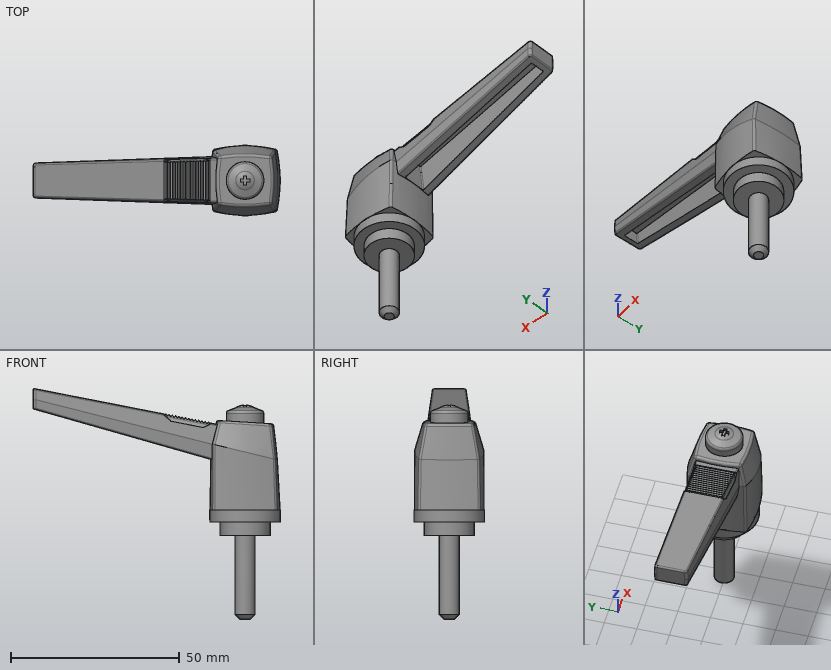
import cadquery as cq

STUD_D = 6.0
STUD_LENGTH = 24.9
STUD_TIP_D = 3.0
STUD_TIP_CHAMFER = (STUD_D - STUD_TIP_D) / 2
SEAT_D = 15.0
SEAT_HEIGHT = 4.0
FLANGE_D = 21.0
FLANGE_HEIGHT = 3.6
BODY_BASE_Z = SEAT_HEIGHT + FLANGE_HEIGHT

BASE_X = (-9.5, 9.5)
BASE_Z = (BODY_BASE_Z, BODY_BASE_Z)
BASE_BOW_X = 0.95
BASE_HALF_Y = 9.2
BASE_BOW_Y = 1.2
PARTING_X = (-9.5, 9.0)
PARTING_Z = (27.1, 22.65)
PARTING_HALF_Y = 8.9
PARTING_BOW_X = 0.7
PARTING_BOW_Y = 1.5
TOP_X = (-7.8, 7.9)
TOP_Z = (34.2, 33.2)
TOP_HALF_Y = 7.1
TOP_BOW = 0.65
BODY_FILLET = 0.95

BUTTON_D = 11.2
BUTTON_EDGE_Z = 36.2
BUTTON_SHOULDER_D = 10.1
BUTTON_SHOULDER_Z = 37.1
BUTTON_CAP_D = 5.5
BUTTON_CAP_Z = 38.0
BUTTON_TOP_Z = 38.8
BUTTON_ROUND_MID_D = 10.8
BUTTON_ROUND_MID_Z = 36.8
CROSS_LENGTH = 2.8
CROSS_WIDTH = 0.9
CROSS_DEPTH = 0.9

OVERALL_LENGTH = 73.5
GRIP_END_X = FLANGE_D / 2 - OVERALL_LENGTH
GRIP_ROOT_X = -6.6
GRIP_TOP_Z = (43.7, 32.7)
GRIP_PARTING_Z = (40.6, 26.3)
GRIP_BOTTOM_Z = (37.6, 21.6)
GRIP_TOP_HALF = (5.0, 6.6)
GRIP_PARTING_WIDTH = (10.45, 14.5)
GRIP_BOTTOM_HALF = (5.0, 6.7)
GRIP_END_FILLET = 0.95
GRIP_FILLET = 0.45

GRIP_SKIN = 2.0
GRIP_END_WALL = 2.0
HOLLOW_END_X = -10.3
HOLLOW_CORNER_RADIUS = 0.3
HOLLOW_CEILING_HALF = (2.2, 2.65)
HOLLOW_MOUTH_HALF = (2.6, 3.9)

PAD_X = (-24.0, -10.4)
PAD_DEPTH = 1.8
PAD_END_RUN = 2.05
PAD_PEAK_INSET = 0.8
PAD_SHOULDER_INSET = 0.4
PAD_SHOULDER_DEPTH = 0.65
PAD_FOOT_OUTSET = 0.1
TOOTH_COUNT = 14
TOOTH_PEAK_RISE = 0.15
TOOTH_ROOT_RISE = -0.4


def along_grip(pair, x):
    """Value at x of a size that changes evenly from the grip end to the grip root."""
    return pair[0] + (pair[1] - pair[0]) * (x - GRIP_END_X) / (GRIP_ROOT_X - GRIP_END_X)


def bowed_outline(x_range, z_range, half_y, bow_x, bow_y):
    """Four-sided outline with outward-bowed sides, lying on a plane that slopes along X."""
    x_low, x_high = x_range
    z_low, z_high = z_range
    x_mid = (x_low + x_high) / 2

    def point(x, y):
        return cq.Vector(x, y, z_low + (z_high - z_low) * (x - x_low) / (x_high - x_low))

    corners = [(x_low, -half_y), (x_high, -half_y), (x_high, half_y), (x_low, half_y)]
    middles = [(x_mid, -half_y - bow_y), (x_high + bow_x, 0), (x_mid, half_y + bow_y), (x_low - bow_x, 0)]
    sides = []
    for i, middle in enumerate(middles):
        start = point(*corners[i])
        end = point(*corners[(i + 1) % 4])
        sides.append(cq.Edge.makeThreePointArc(start, point(*middle), end))
    return cq.Wire.assembleEdges(sides)


def body_corner_levels():
    """Middle (x, half y, z) of each corner edge, below and above the parting line."""
    levels = []
    for end, base_x in enumerate(BASE_X):
        base = cq.Vector(base_x, BASE_HALF_Y, BODY_BASE_Z)
        parting = cq.Vector(PARTING_X[end], PARTING_HALF_Y, PARTING_Z[end])
        top = cq.Vector(TOP_X[end], TOP_HALF_Y, TOP_Z[end])
        levels.append(((base + parting) / 2).toTuple())
        levels.append(((parting + top) / 2).toTuple())
    return levels


def make_body():
    """Tapered block in two lofts, with its corners and top rim rounded."""
    base = bowed_outline(BASE_X, BASE_Z, BASE_HALF_Y, BASE_BOW_X, BASE_BOW_Y)
    parting = bowed_outline(PARTING_X, PARTING_Z, PARTING_HALF_Y, PARTING_BOW_X, PARTING_BOW_Y)
    top = bowed_outline(TOP_X, TOP_Z, TOP_HALF_Y, TOP_BOW, TOP_BOW)
    lower = cq.Workplane(cq.Solid.makeLoft([base, parting], True))
    upper = cq.Workplane(cq.Solid.makeLoft([parting, top], True))
    body = lower.union(upper)
    rounded = body.faces(">Z").edges()
    for level_x, level_y, level_z in body_corner_levels():
        for side in (-1, 1):
            corner = (level_x, side * level_y, level_z)
            rounded = rounded.add(body.edges(cq.selectors.NearestToPointSelector(corner)))
    return rounded.fillet(BODY_FILLET)


def make_turned_parts():
    """Seat, flange and stud."""
    seat = cq.Workplane("XY").circle(SEAT_D / 2).extrude(SEAT_HEIGHT)
    flange = cq.Workplane("XY").workplane(offset=SEAT_HEIGHT).circle(FLANGE_D / 2).extrude(FLANGE_HEIGHT)
    stud = cq.Workplane("XY").circle(STUD_D / 2).extrude(-STUD_LENGTH)
    stud = stud.faces("<Z").chamfer(STUD_TIP_CHAMFER)
    return seat.union(flange).union(stud)


def make_button():
    """Domed button with a cross recess; its foot is buried in the body."""
    cap_radius = BUTTON_CAP_D / 2
    cap_height = BUTTON_TOP_Z - BUTTON_CAP_Z
    sphere_radius = (cap_radius**2 + cap_height**2) / (2 * cap_height)
    round_middle = (BUTTON_ROUND_MID_D / 2, BUTTON_ROUND_MID_Z)
    button = (
        cq.Workplane("XZ")
        .moveTo(0, BODY_BASE_Z)
        .lineTo(BUTTON_D / 2, BODY_BASE_Z)
        .lineTo(BUTTON_D / 2, BUTTON_EDGE_Z)
        .threePointArc(round_middle, (BUTTON_SHOULDER_D / 2, BUTTON_SHOULDER_Z))
        .lineTo(cap_radius, BUTTON_CAP_Z)
        .radiusArc((0, BUTTON_TOP_Z), -sphere_radius)
        .close()
        .revolve(360, (0, 0), (0, 1))
    )
    cross = (
        cq.Workplane("XY")
        .workplane(offset=BUTTON_TOP_Z - CROSS_DEPTH)
        .rect(CROSS_LENGTH, CROSS_WIDTH)
        .extrude(CROSS_DEPTH)
    )
    return button.cut(cross).cut(cross.rotate((0, 0, 0), (0, 0, 1), 90))


def section(x, half_width_levels):
    """Closed outline across the grip at x, from (half width, z) levels listed top to bottom."""
    right = [cq.Vector(x, half, z) for half, z in half_width_levels]
    left = [cq.Vector(x, -half, z) for half, z in reversed(half_width_levels)]
    return cq.Wire.makePolygon(right + left, close=True)


def make_grip():
    """Solid tapered grip with rounded end corners and rims."""
    sections = []
    for end, x in enumerate((GRIP_END_X, GRIP_ROOT_X)):
        levels = [
            (GRIP_TOP_HALF[end], GRIP_TOP_Z[end]),
            (GRIP_PARTING_WIDTH[end] / 2, GRIP_PARTING_Z[end]),
            (GRIP_BOTTOM_HALF[end], GRIP_BOTTOM_Z[end]),
        ]
        sections.append(section(x, levels))
    grip = cq.Workplane(cq.Solid.makeLoft(sections, True))
    grip = grip.faces("<X").edges("not #Z").fillet(GRIP_END_FILLET)

    middle_x = (GRIP_END_X + GRIP_ROOT_X) / 2
    for level in (GRIP_TOP_Z, GRIP_BOTTOM_Z):
        face_point = (middle_x, 0, along_grip(level, middle_x))
        face = grip.faces(cq.selectors.NearestToPointSelector(face_point))
        grip = grip.newObject(face.edges().edges("not >X").vals()).fillet(GRIP_FILLET)
    return grip


def make_hollow():
    """Drafted pocket, open downward, running from the end wall to just short of the body."""
    sections = []
    for end, x in enumerate((GRIP_END_X + GRIP_END_WALL, HOLLOW_END_X)):
        ceiling_z = along_grip(GRIP_TOP_Z, x) - GRIP_SKIN
        mouth_z = along_grip(GRIP_BOTTOM_Z, x) - GRIP_FILLET
        levels = [(HOLLOW_CEILING_HALF[end], ceiling_z), (HOLLOW_MOUTH_HALF[end], mouth_z)]
        sections.append(section(x, levels))
    hollow = cq.Workplane(cq.Solid.makeLoft(sections, True))
    return hollow.faces("<X or >X").edges("not #Z").fillet(HOLLOW_CORNER_RADIUS)


def above_grip(x, rise):
    """Point of a side profile at a height above the top of the grip."""
    return (x, along_grip(GRIP_TOP_Z, x) + rise)


def across_grip(outline):
    """Prism wider than the grip, from a side profile."""
    return cq.Workplane("XZ").polyline(outline).close().extrude(FLANGE_D / 2, both=True)


def add_thumb_pad(grip):
    """Replace a shallow stretch of the grip top with teeth whose ends slope down to steep side facets."""
    start_x, end_x = PAD_X
    pitch = (end_x - start_x) / TOOTH_COUNT
    foot = [above_grip(end_x - PAD_END_RUN, -PAD_DEPTH), above_grip(start_x + PAD_END_RUN, -PAD_DEPTH)]

    teeth = [above_grip(start_x, TOOTH_ROOT_RISE)]
    for i in range(TOOTH_COUNT):
        tooth_x = start_x + i * pitch
        teeth.append(above_grip(tooth_x + pitch / 2, TOOTH_PEAK_RISE))
        teeth.append(above_grip(tooth_x + pitch, TOOTH_ROOT_RISE))
    profile = across_grip(teeth + foot)

    sections = []
    for x in PAD_X:
        half = along_grip(GRIP_TOP_HALF, x)
        top_z = along_grip(GRIP_TOP_Z, x)
        levels = [
            (half - PAD_PEAK_INSET, top_z + TOOTH_PEAK_RISE),
            (half - PAD_SHOULDER_INSET, top_z - PAD_SHOULDER_DEPTH),
            (half + PAD_FOOT_OUTSET, top_z - PAD_DEPTH),
        ]
        sections.append(section(x, levels))
    facets = cq.Workplane(cq.Solid.makeLoft(sections, True))

    notch_rim = [above_grip(start_x, TOOTH_PEAK_RISE), above_grip(end_x, TOOTH_PEAK_RISE)]
    notch = across_grip(teeth[:1] + notch_rim + teeth[-1:] + foot)
    return grip.cut(notch.cut(facets)).cut(notch.cut(profile)).union(profile.intersect(facets))


grip = add_thumb_pad(make_grip()).cut(make_hollow())
result = make_turned_parts().union(make_body()).union(grip).union(make_button())